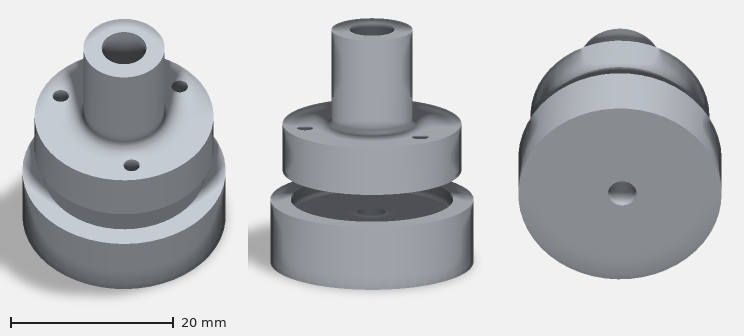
import cadquery as cq

cup_diameter = 25.0
cup_height = 8.0
pocket_diameter = 20.0
pocket_depth = 1.7
pocket_fillet = 0.5
floor_hole_diameter = 3.5
floor_hole_offset = 0.3

hub_gap = 3.7
flange_diameter = 22.0
flange_thickness = 6.0
shaft_diameter = 10.0
bore_diameter = 5.5
shaft_fillet = 0.6
overall_height = 29.7

screw_hole_count = 3
screw_hole_diameter = 2.0
screw_circle_radius = 8.5
first_screw_angle = 90.0


def make_cup():
    """Round cup with a filleted pocket floor."""
    body = cq.Workplane("XY").circle(cup_diameter / 2).extrude(cup_height)
    floor_height = cup_height - pocket_depth
    pocket = (
        cq.Workplane("XY", origin=(0, 0, floor_height))
        .circle(pocket_diameter / 2)
        .extrude(pocket_depth)
        .faces("<Z")
        .edges()
        .fillet(pocket_fillet)
    )
    floor_hole = (
        cq.Workplane("XY")
        .center(floor_hole_offset, 0)
        .circle(floor_hole_diameter / 2)
        .extrude(floor_height)
    )
    return body.cut(pocket).cut(floor_hole)


def make_hub():
    """Flanged hollow shaft with a filleted root and a ring of screw holes."""
    flange_bottom = cup_height + hub_gap
    flange_top = flange_bottom + flange_thickness
    flange_radius = flange_diameter / 2
    shaft_radius = shaft_diameter / 2
    body = (
        cq.Workplane("XZ")
        .moveTo(0, flange_bottom)
        .lineTo(flange_radius, flange_bottom)
        .lineTo(flange_radius, flange_top)
        .lineTo(shaft_radius + shaft_fillet, flange_top)
        .radiusArc((shaft_radius, flange_top + shaft_fillet), shaft_fillet)
        .lineTo(shaft_radius, overall_height)
        .lineTo(0, overall_height)
        .close()
        .revolve(360, (0, 0, 0), (0, 1, 0))
    )
    bore = (
        cq.Workplane("XY", origin=(0, 0, flange_bottom))
        .circle(bore_diameter / 2)
        .extrude(overall_height - flange_bottom)
    )
    screw_holes = (
        cq.Workplane("XY", origin=(0, 0, flange_bottom))
        .polarArray(screw_circle_radius, first_screw_angle, 360, screw_hole_count)
        .circle(screw_hole_diameter / 2)
        .extrude(flange_thickness)
    )
    return body.cut(bore).cut(screw_holes)


cup = make_cup()
hub = make_hub()

result = cq.Compound.makeCompound([cup.val(), hub.val()])